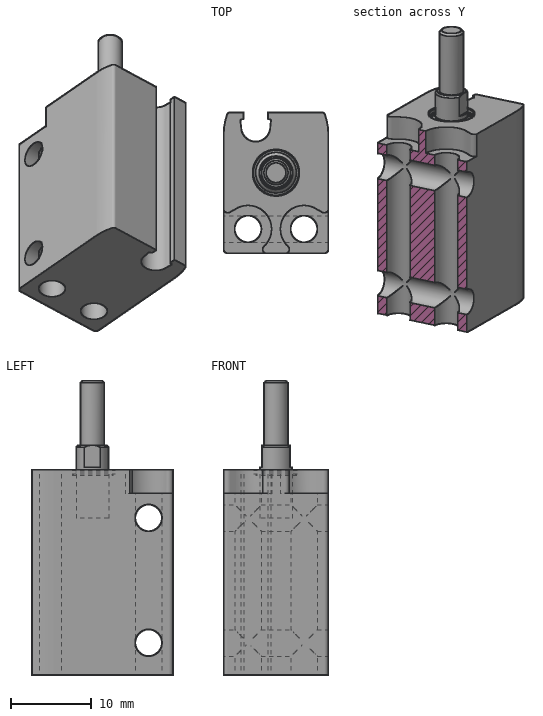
import cadquery as cq
import math

total_height = 36.5
width = 13.0
depth = 17.5
housing_height = 25.48
back_y = 7.5
front_y = back_y - depth
half_width = width / 2

front_corner_radius = 0.5
back_corner_radius = 0.4
side_curve_length = 2.7
side_curve_radius = 7.3

slot_x = -2.52
slot_mouth_half = 1.5
slot_lip_depth = 0.88
slot_wide_half = 1.9
slot_radius = 1.8
slot_bottom_y = 3.87
slot_corner_radius = 0.15

hole_diameter = 3.3
mount_x = 3.45
mount_y = -6.97
cross_hole_top_drop = 6.0
cross_hole_spacing = 15.48

recess_radius = 2.92
recess_depth = 2.92
foot_radius = 0.5
shoulder_radius = 0.6
shoulder_angle = math.radians(30)
shoulder_line_length = 0.88

collar_diameter = 4.0
collar_height = 3.0
collar_chamfer = 0.22
flat_width = 3.5
flat_start = 0.3
rod_diameter = 3.0
tip_diameter = 2.45
tip_chamfer_height = 0.3
rod_insertion = 6.0
seat_diameter = 5.6
seat_depth = 0.5
seat_rim_chamfer = 0.1
seal_base_diameter = 5.05
seal_top_diameter = 4.15
seal_top_depth = 0.25
seal_base_depth = 0.73


def side_curve_inset(distance):
    """Inward drift of the curved side at a distance behind its tangent point."""
    return side_curve_radius - math.sqrt(side_curve_radius**2 - distance**2)


def make_housing_block():
    tangent_y = back_y - side_curve_length
    mid_x = half_width - side_curve_inset(side_curve_length / 2)
    mid_y = tangent_y + side_curve_length / 2
    end_x = half_width - side_curve_inset(side_curve_length)
    block = (
        cq.Workplane("XY")
        .moveTo(-half_width, front_y)
        .lineTo(half_width, front_y)
        .lineTo(half_width, tangent_y)
        .threePointArc((mid_x, mid_y), (end_x, back_y))
        .lineTo(-end_x, back_y)
        .threePointArc((-mid_x, mid_y), (-half_width, tangent_y))
        .close()
        .extrude(housing_height)
    )
    block = block.faces("<Y").edges("|Z").fillet(front_corner_radius)
    return block.faces(">Y").edges("|Z").fillet(back_corner_radius)


def make_sensor_slot():
    lip_y = back_y - slot_lip_depth
    arc_y = slot_bottom_y + slot_radius
    slot = (
        cq.Workplane("XY")
        .moveTo(slot_x - slot_mouth_half, back_y)
        .lineTo(slot_x - slot_mouth_half, lip_y)
        .lineTo(slot_x - slot_wide_half, lip_y)
        .lineTo(slot_x - slot_radius, arc_y)
        .threePointArc((slot_x, slot_bottom_y), (slot_x + slot_radius, arc_y))
        .lineTo(slot_x + slot_wide_half, lip_y)
        .lineTo(slot_x + slot_mouth_half, lip_y)
        .lineTo(slot_x + slot_mouth_half, back_y)
        .close()
        .extrude(housing_height)
    )
    undercut_corners = cq.selectors.BoxSelector(
        (slot_x - slot_wide_half - 0.35, lip_y - slot_corner_radius, 0),
        (slot_x + slot_wide_half + 0.35, lip_y + slot_corner_radius, housing_height),
    )
    return slot.edges("|Z").edges(undercut_corners).fillet(slot_corner_radius)


def polar(center, radius, angle):
    return (center[0] + radius * math.cos(angle), center[1] + radius * math.sin(angle))


def make_left_recess():
    """Open corner pocket: an arc about the hole, blended to the side and front faces."""
    center = (-mount_x, mount_y)

    arc_start_angle = math.pi / 2 + shoulder_angle
    arc_start = polar(center, recess_radius, arc_start_angle)
    shoulder_end = polar(arc_start, shoulder_line_length, math.pi + shoulder_angle)
    shoulder_center = polar(shoulder_end, shoulder_radius, arc_start_angle)
    wall_angle = -math.acos((-half_width - shoulder_center[0]) / shoulder_radius)
    wall_point = polar(shoulder_center, shoulder_radius, wall_angle)
    shoulder_mid = polar(shoulder_center, shoulder_radius, -math.pi / 2)

    foot_y = front_y + foot_radius
    foot_reach = recess_radius + foot_radius
    foot_x = -mount_x + math.sqrt(foot_reach**2 - (mount_y - foot_y) ** 2)
    foot_center = (foot_x, foot_y)
    contact_angle = math.atan2(foot_y - mount_y, foot_x + mount_x)
    contact = polar(center, recess_radius, contact_angle)
    arc_mid = polar(center, recess_radius, (arc_start_angle + contact_angle) / 2)
    foot_mid = polar(foot_center, foot_radius, math.pi)

    return (
        cq.Workplane("XY", origin=(0, 0, housing_height - recess_depth))
        .moveTo(*wall_point)
        .threePointArc(shoulder_mid, shoulder_end)
        .lineTo(*arc_start)
        .threePointArc(arc_mid, contact)
        .threePointArc(foot_mid, (foot_x, front_y))
        .lineTo(-half_width, front_y)
        .close()
        .extrude(recess_depth)
    )


def make_mounting_holes():
    vertical = (
        cq.Workplane("XY")
        .pushPoints([(-mount_x, mount_y), (mount_x, mount_y)])
        .circle(hole_diameter / 2)
        .extrude(housing_height)
    )
    upper_z = housing_height - cross_hole_top_drop
    cross = (
        cq.Workplane("YZ", origin=(-half_width, 0, 0))
        .pushPoints([(mount_y, upper_z), (mount_y, upper_z - cross_hole_spacing)])
        .circle(hole_diameter / 2)
        .extrude(width)
    )
    return vertical.union(cross)


def make_rod_bore():
    """Bore for the rod, opening into a round seat with a sloped seal lip sunk in its floor."""
    bore_radius = collar_diameter / 2
    seat_radius = seat_diameter / 2
    seat_z = housing_height - seat_depth
    return (
        cq.Workplane("XZ")
        .moveTo(0, housing_height - rod_insertion)
        .lineTo(bore_radius, housing_height - rod_insertion)
        .lineTo(bore_radius, housing_height - seal_top_depth)
        .lineTo(seal_top_diameter / 2, housing_height - seal_top_depth)
        .lineTo(seal_base_diameter / 2, housing_height - seal_base_depth)
        .lineTo(seal_base_diameter / 2, seat_z)
        .lineTo(seat_radius, seat_z)
        .lineTo(seat_radius, housing_height - seat_rim_chamfer)
        .lineTo(seat_radius + seat_rim_chamfer, housing_height)
        .lineTo(0, housing_height)
        .close()
        .revolve(360, (0, 0), (0, 1))
    )


def make_housing():
    left_recess = make_left_recess()
    return (
        make_housing_block()
        .cut(make_sensor_slot())
        .cut(left_recess)
        .cut(left_recess.mirror("YZ"))
        .cut(make_mounting_holes())
        .cut(make_rod_bore())
    )


def make_rod():
    collar_radius = collar_diameter / 2
    rod_radius = rod_diameter / 2
    bottom_z = housing_height - rod_insertion
    collar_top_z = housing_height + collar_height
    rod = (
        cq.Workplane("XZ")
        .moveTo(0, bottom_z)
        .lineTo(collar_radius, bottom_z)
        .lineTo(collar_radius, collar_top_z - collar_chamfer)
        .lineTo(collar_radius - collar_chamfer, collar_top_z)
        .lineTo(rod_radius, collar_top_z)
        .lineTo(rod_radius, total_height - tip_chamfer_height)
        .lineTo(tip_diameter / 2, total_height)
        .lineTo(0, total_height)
        .close()
        .revolve(360, (0, 0), (0, 1))
    )

    flat_height = collar_height - flat_start
    flat_z = housing_height + flat_start
    flats = (
        cq.Workplane("XY", origin=(0, 0, flat_z))
        .rect(collar_diameter, collar_diameter)
        .rect(flat_width, collar_diameter)
        .extrude(flat_height)
    )
    return rod.cut(flats)


housing = make_housing()
rod = make_rod()
result = cq.Compound.makeCompound([housing.val(), rod.val()])